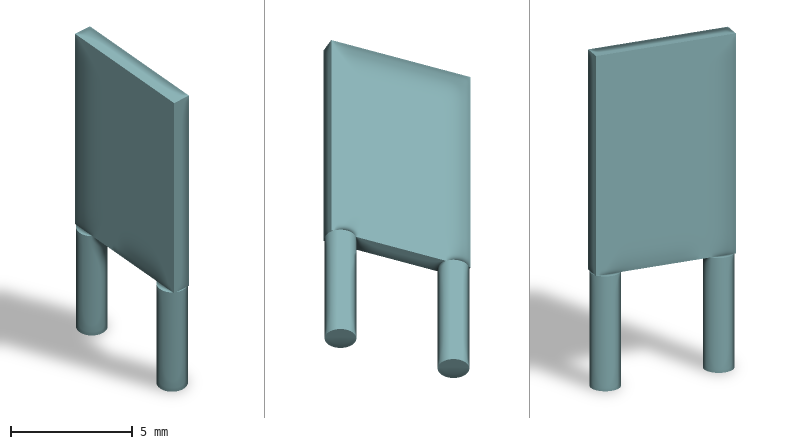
import cadquery as cq

total_height = 14.8

pin_diameter = 1.3
pin_spacing = 5.08
pin_length = 5.08

plate_width = 6.26
plate_thickness = 0.8
plate_height = total_height - pin_length


def make_plate():
    """Rectangular plate standing upright, centred over the pins."""
    return (
        cq.Workplane("XY")
        .workplane(offset=pin_length)
        .rect(plate_width, plate_thickness)
        .extrude(plate_height)
    )


def make_pin(center_x):
    """Plain cylindrical pin whose top face meets the plate's lower edge."""
    return cq.Workplane("XY").center(center_x, 0).circle(pin_diameter / 2).extrude(pin_length)


plate = make_plate()
pins = [make_pin(side * pin_spacing / 2) for side in (-1, 1)]

result = cq.Compound.makeCompound([plate.val(), *[pin.val() for pin in pins]])